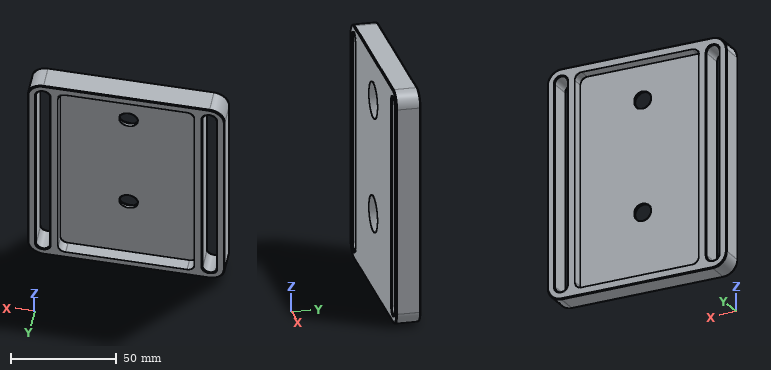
import cadquery as cq

height = 120.0
width = 95.0
thickness = 12.0
corner_radius = 7.5
edge_chamfer = 0.5

slot_width = 6.7
slot_wall = 4.0
slot_length = height - 2 * slot_wall
slot_offset = width / 2 - slot_wall - slot_width / 2
slot_chamfer = 0.5

hole_diameter = 9.0
countersink_diameter = 18.0
countersink_angle = 90
upper_hole_height = 38.0
hole_spacing = 58.5

floor_thickness = 6.0
pocket_corner_radius = 3.6

front_plane = cq.Workplane("XZ", origin=(0, -thickness / 2, 0))


def rounded_plate():
    """Plate with rounded corners and lightly chamfered front and back rims."""
    plate = cq.Workplane("XY").box(width, thickness, height)
    plate = plate.edges("|Y").fillet(corner_radius)
    return plate.faces("<Y or >Y").edges().chamfer(edge_chamfer)


def slot_cutter(x):
    """Round-ended slot through the plate, flared at both faces."""
    slot = (
        front_plane.center(x, 0)
        .slot2D(slot_length, slot_width, 90)
        .extrude(-thickness)
    )
    for face_y, inward in ((-thickness / 2, -1), (thickness / 2, 1)):
        flare = (
            cq.Workplane("XZ", origin=(x, face_y, 0))
            .slot2D(slot_length + 2 * slot_chamfer, slot_width + 2 * slot_chamfer, 90)
            .extrude(inward * slot_chamfer, taper=45)
        )
        slot = slot.union(flare)
    return slot


def back_pocket():
    """Rounded rectangular pocket cut into the back face, between the slots."""
    pocket_width = 2 * (slot_offset - slot_width / 2 - slot_wall)
    pocket_height = height - 2 * slot_wall
    pocket = cq.Workplane("XY").box(pocket_width, thickness, pocket_height)
    pocket = pocket.edges("|Y").fillet(pocket_corner_radius)
    return pocket.translate((0, floor_thickness, 0))


result = rounded_plate()

for slot_x in (-slot_offset, slot_offset):
    result = result.cut(slot_cutter(slot_x))

result = result.cut(back_pocket())

hole_centres = [(0, upper_hole_height), (0, upper_hole_height - hole_spacing)]
result = (
    result.copyWorkplane(front_plane)
    .pushPoints(hole_centres)
    .cskHole(hole_diameter, countersink_diameter, countersink_angle)
)